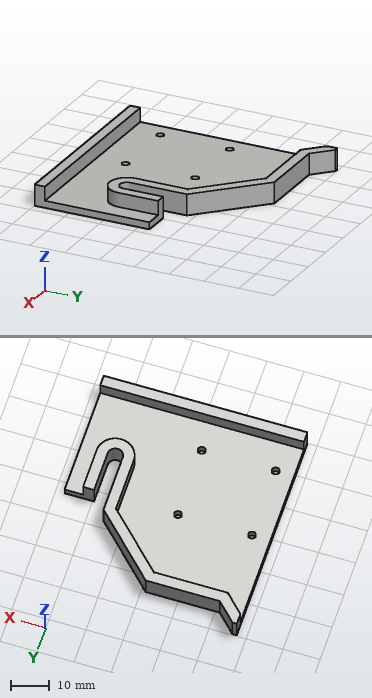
import cadquery as cq
import math

width = 55.0
depth = 59.6
height = 6.0
floor_thickness = 2.0
wall = 3.0

slot_radius = 2.0
slot_x = 45.0
slot_center_y = 21.6
slot_open_y = 33.0
bend_radius = slot_radius + wall

hole_diameter = 2.0
hole_pitch = 19.95
hole_x = 5.0
hole_y = 11.2

inner_top_y = 51.55
inner_left_x = hole_x
inner_bend_x = hole_x + hole_pitch
inner_right_x = slot_x - bend_radius
inner_side_y = inner_top_y - (inner_right_x - inner_bend_x)
inner_edge_y = inner_top_y + inner_left_x

bend_shift = wall * math.tan(math.radians(22.5))
outer_top_y = inner_top_y + wall
outer_left_x = inner_left_x + bend_shift
outer_bend_x = inner_bend_x + bend_shift
outer_right_x = slot_x - slot_radius
outer_side_y = inner_side_y + bend_shift
outer_tip_x = outer_left_x - (depth - outer_top_y)


def trace_outer_face(sketch):
    """Follow the outer face from the upper left tip to the open end of the slot."""
    return (
        sketch.lineTo(outer_tip_x, depth)
        .lineTo(outer_left_x, outer_top_y)
        .lineTo(outer_bend_x, outer_top_y)
        .lineTo(outer_right_x, outer_side_y)
        .lineTo(outer_right_x, slot_center_y)
        .threePointArc(
            (slot_x, slot_center_y - slot_radius),
            (slot_x + slot_radius, slot_center_y),
        )
        .lineTo(slot_x + slot_radius, slot_open_y)
    )


def make_floor():
    outline = trace_outer_face(cq.Workplane("XY").lineTo(0, depth))
    return outline.lineTo(width, slot_open_y).lineTo(width, 0).close().extrude(floor_thickness)


def make_guide_wall():
    outline = trace_outer_face(cq.Workplane("XY").moveTo(0, inner_edge_y).lineTo(0, depth))
    return (
        outline.lineTo(slot_x + bend_radius, slot_open_y)
        .lineTo(slot_x + bend_radius, slot_center_y)
        .threePointArc(
            (slot_x, slot_center_y - bend_radius),
            (inner_right_x, slot_center_y),
        )
        .lineTo(inner_right_x, inner_side_y)
        .lineTo(inner_bend_x, inner_top_y)
        .lineTo(inner_left_x, inner_top_y)
        .close()
        .extrude(height)
    )


def make_front_wall():
    return cq.Workplane("XY").box(width, wall, height, centered=False)


def make_holes():
    centers = [(hole_x + i * hole_pitch, hole_y + j * hole_pitch) for i in range(2) for j in range(2)]
    return cq.Workplane("XY").pushPoints(centers).circle(hole_diameter / 2).extrude(floor_thickness)


result = make_floor().union(make_guide_wall()).union(make_front_wall()).cut(make_holes())